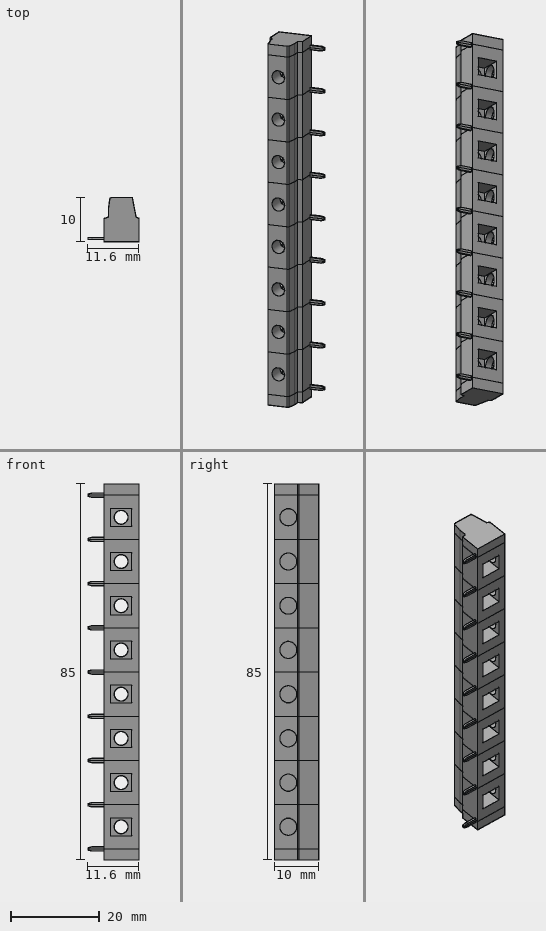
import cadquery as cq

strip_length = 85.0
module_count = 8
end_plate_thickness = 2.55
lower_joint_z = end_plate_thickness
upper_joint_z = strip_length - end_plate_thickness
module_pitch = (upper_joint_z - lower_joint_z) / module_count

depth = 10.0
body_left = 3.6
body_right = 11.6
shoulder_outer_y = 5.3
shoulder_inner_y = 5.6
upper_left = 4.6
upper_right = 10.9
crease_y = 7.5
top_left = 4.9
top_left_y = 9.9
top_ridge_x = 5.35
top_right = 10.0

wire_entry_x = 7.5
pocket_width = 4.8
pocket_height = 4.1
pocket_depth = 5.4
wire_hole_diameter = 3.1

screw_hole_diameter = 3.8
screw_hole_y = 3.15

pin_front_y = 0.5
pin_thickness = 0.5
pin_half_width = 0.5
pin_tip_length = 0.85
pin_tip_half_width = 0.25


def profile_block(bottom_z, height):
    """Length of the strip's cross-section, without holes or pins."""
    return (
        cq.Workplane("XY", origin=(0, 0, bottom_z))
        .moveTo(body_left, 0)
        .lineTo(body_right, 0)
        .lineTo(body_right, shoulder_outer_y)
        .lineTo(upper_right, shoulder_inner_y)
        .lineTo(top_right, depth)
        .lineTo(top_ridge_x, depth)
        .lineTo(top_left, top_left_y)
        .lineTo(upper_left, crease_y)
        .lineTo(upper_left, shoulder_inner_y)
        .lineTo(body_left, shoulder_outer_y)
        .close()
        .extrude(height)
    )


def half_pin(joint_z, side):
    """Half of a pin with a tapered tip; side is 1 above the joint plane and -1 below it."""
    return (
        cq.Workplane("XZ", origin=(0, pin_front_y + pin_thickness, joint_z))
        .moveTo(body_left, 0)
        .lineTo(0, 0)
        .lineTo(0, side * pin_tip_half_width)
        .lineTo(pin_tip_length, side * pin_half_width)
        .lineTo(body_left, side * pin_half_width)
        .close()
        .extrude(pin_thickness)
    )


def wire_entry(center_z):
    """Pocket and wire hole to cut from a module."""
    pocket = cq.Workplane("XY").box(
        pocket_width, pocket_depth, pocket_height, centered=(True, False, True)
    )
    hole = cq.Workplane("XZ").circle(wire_hole_diameter / 2).extrude(-depth)
    return pocket.union(hole).translate((wire_entry_x, 0, center_z))


def screw_access(center_z):
    """Screw hole to cut from a module, from inside the pocket out to the +X face."""
    return (
        cq.Workplane("YZ", origin=(wire_entry_x, screw_hole_y, center_z))
        .circle(screw_hole_diameter / 2)
        .extrude(body_right - wire_entry_x)
    )


def terminal_module(bottom_z):
    """One module with its wire entry, screw access and a half pin at each end."""
    center_z = bottom_z + module_pitch / 2
    top_z = bottom_z + module_pitch
    return (
        profile_block(bottom_z, module_pitch)
        .cut(wire_entry(center_z))
        .cut(screw_access(center_z))
        .union(half_pin(bottom_z, 1))
        .union(half_pin(top_z, -1))
    )


def end_plate(bottom_z, joint_z, pin_side):
    """Plain plate with a half pin at the joint to the neighbouring module."""
    return profile_block(bottom_z, end_plate_thickness).union(half_pin(joint_z, pin_side))


terminal_modules = [
    terminal_module(lower_joint_z + index * module_pitch) for index in range(module_count)
]
lower_end_plate = end_plate(0, lower_joint_z, -1)
upper_end_plate = end_plate(upper_joint_z, upper_joint_z, 1)

bodies = [lower_end_plate, *terminal_modules, upper_end_plate]
result = cq.Compound.makeCompound([body.solids().val() for body in bodies])